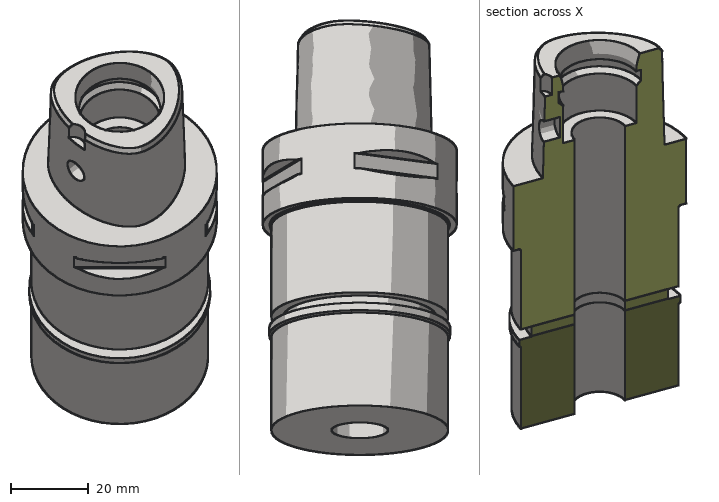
import cadquery as cq
import math

total_height = 105.0
shank_height = 30.0
flange_height = 20.0
barrel_height = 24.7
spacer_height = 2.9
flange_bottom_z = total_height - shank_height - flange_height
flange_top_z = total_height - shank_height
barrel_bottom_z = flange_bottom_z - barrel_height
nut_top_z = barrel_bottom_z - spacer_height

flange_radius = 25.0
barrel_radius = 22.8
barrel_flare = 0.4
spacer_radius = 19.7
collar_bevel = 0.5
collar_radius = barrel_radius + collar_bevel
collar_height = 2.0
bore_radius = 7.2

shank_base_radius = 17.6
shank_lobe = 1.2
shank_taper = 1 / 40
shank_rim_height = 1.3
shank_rim_inset = 0.8
shank_outline_points = 60

socket_mouth_radius = 11.4
socket_radius = 10.5
socket_mouth_depth = 3.7
socket_floor_depth = 21.0
clamp_groove_radius = 11.9
clamp_groove_top_depth = 5.2
clamp_groove_wall_end_depth = 8.3

notch_radius = 3.2
notch_center_y = -17.0
notch_depth = 5.2
hole_diameter = 6.1
hole_drop = 16.0
hole_floor_y = -11.5

groove_count = 4
groove_first_angle = 45
groove_floor_distance = 22.0
groove_wall_depth = 0.5
groove_floor_height = 4.0
groove_mouth_height = 6.5
groove_center_z = flange_bottom_z + flange_height / 2


def disc(radius, bottom_z, height):
    return cq.Workplane("XY").workplane(offset=bottom_z).circle(radius).extrude(height)


def cone(bottom_radius, top_radius, bottom_z, height):
    solid = cq.Solid.makeCone(bottom_radius, top_radius, height, cq.Vector(0, 0, bottom_z))
    return cq.Workplane("XY").add(solid)


def lobed_point(mean_radius, angle):
    """Point of the constant-width three-lobed curve whose tangent faces `angle`; one lobe is at +Y."""
    lobe_angle = 3 * (angle - math.pi / 2)
    reach = mean_radius + shank_lobe * math.cos(lobe_angle)
    slide = -3 * shank_lobe * math.sin(lobe_angle)
    x = reach * math.cos(angle) - slide * math.sin(angle)
    y = reach * math.sin(angle) + slide * math.cos(angle)
    return (x, y)


def lobed_outline(mean_radius):
    step = 2 * math.pi / shank_outline_points
    return [lobed_point(mean_radius, -math.pi / 2 + i * step) for i in range(shank_outline_points)]


def lobed_frustum(bottom_radius, top_radius, bottom_z, height):
    return (
        cq.Workplane("XY")
        .workplane(offset=bottom_z)
        .spline(lobed_outline(bottom_radius), periodic=True)
        .close()
        .workplane(offset=height)
        .spline(lobed_outline(top_radius), periodic=True)
        .close()
        .loft(ruled=True)
    )


def make_shank():
    taper_height = shank_height - shank_rim_height
    rim_radius = shank_base_radius - shank_taper * taper_height
    rim_z = flange_top_z + taper_height
    tapered = lobed_frustum(shank_base_radius, rim_radius, flange_top_z, taper_height)
    rim = lobed_frustum(rim_radius, rim_radius - shank_rim_inset, rim_z, shank_rim_height)
    return tapered.union(rim)


def make_socket():
    """Socket with a tapered mouth and an undercut ring whose lower flank is a 45-degree cone."""
    groove_end_depth = clamp_groove_wall_end_depth + clamp_groove_radius - socket_radius
    return (
        cq.Workplane("XZ")
        .moveTo(0, total_height)
        .lineTo(socket_mouth_radius, total_height)
        .lineTo(socket_radius, total_height - socket_mouth_depth)
        .lineTo(socket_radius, total_height - clamp_groove_top_depth)
        .lineTo(clamp_groove_radius, total_height - clamp_groove_top_depth)
        .lineTo(clamp_groove_radius, total_height - clamp_groove_wall_end_depth)
        .lineTo(socket_radius, total_height - groove_end_depth)
        .lineTo(socket_radius, total_height - socket_floor_depth)
        .lineTo(0, total_height - socket_floor_depth)
        .close()
        .revolve(360, (0, 0, 0), (0, 1, 0))
    )


def make_orientation_notch():
    return disc(notch_radius, total_height - notch_depth, notch_depth).translate((0, notch_center_y, 0))


def make_radial_hole():
    return (
        cq.Workplane("XZ", origin=(0, hole_floor_y, total_height - hole_drop))
        .circle(hole_diameter / 2)
        .extrude(flange_radius + hole_floor_y)
    )


def make_gripper_groove(angle):
    """Straight groove across the flange with a flat floor and flared walls."""
    flare_start = groove_floor_distance + groove_wall_depth
    half_floor = groove_floor_height / 2
    half_mouth = groove_mouth_height / 2
    return (
        cq.Workplane("XZ")
        .moveTo(groove_floor_distance, groove_center_z - half_floor)
        .lineTo(flare_start, groove_center_z - half_floor)
        .lineTo(flange_radius, groove_center_z - half_mouth)
        .lineTo(flange_radius, groove_center_z + half_mouth)
        .lineTo(flare_start, groove_center_z + half_floor)
        .lineTo(groove_floor_distance, groove_center_z + half_floor)
        .close()
        .extrude(flange_radius, both=True)
        .rotate((0, 0, 0), (0, 0, 1), angle)
    )


def make_barrel():
    """Plain cylinder below the flange, flared where it meets the flange."""
    flare_z = flange_bottom_z - barrel_flare
    barrel = disc(barrel_radius, barrel_bottom_z, barrel_height)
    return barrel.union(cone(barrel_radius, barrel_radius + barrel_flare, flare_z, barrel_flare))


def make_holder():
    """Tapered shank, gripper flange and barrel in one piece."""
    holder = disc(flange_radius, flange_bottom_z, flange_height).union(make_shank()).union(make_barrel())
    for i in range(groove_count):
        holder = holder.cut(make_gripper_groove(groove_first_angle + i * 360 / groove_count))
    holder = holder.cut(make_socket())
    holder = holder.cut(make_orientation_notch())
    holder = holder.cut(make_radial_hole())
    return holder.cut(disc(bore_radius, barrel_bottom_z, total_height - barrel_bottom_z))


def make_spacer():
    """Narrower ring between the holder and the nut."""
    return disc(spacer_radius, nut_top_z, spacer_height).cut(disc(bore_radius, nut_top_z, spacer_height))


def make_nut():
    """Plain nut with a slightly wider collar at its top, bevelled below."""
    collar_bottom_z = nut_top_z - collar_height
    bevel_bottom_z = collar_bottom_z - collar_bevel
    nut = disc(barrel_radius, 0, bevel_bottom_z)
    nut = nut.union(cone(barrel_radius, collar_radius, bevel_bottom_z, collar_bevel))
    nut = nut.union(disc(collar_radius, collar_bottom_z, collar_height))
    return nut.cut(disc(bore_radius, 0, nut_top_z))


holder = make_holder()
spacer = make_spacer()
nut = make_nut()

result = cq.Compound.makeCompound([holder.val(), spacer.val(), nut.val()])